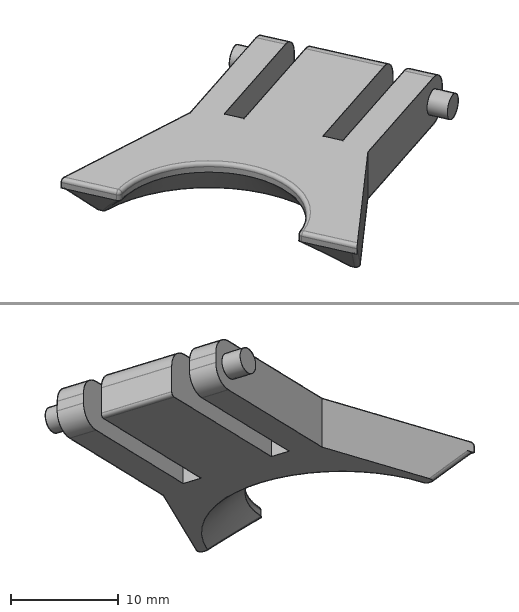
import cadquery as cq

length = 33.0
thickness = 5.0
fork_width = 30.0
shank_width = 18.0
flare_length = 15.97

tongue_width = 8.0
slot_width = 2.0
slot_length = 16.0

hinge_radius = 2.0
pin_diameter = 2.5
pin_span = 22.1
pin_inset = 2.25
pin_height = thickness / 2

notch_radius = shank_width / 2
lip_height = 1.0
undercut = thickness - lip_height
edge_radius = 0.4

margin = 0.03


def make_plate():
    """Shank with a flared fork end, extruded to full thickness."""
    half_shank = shank_width / 2
    half_fork = fork_width / 2
    outline = [
        (-half_fork, 0),
        (half_fork, 0),
        (half_shank, flare_length),
        (half_shank, length),
        (-half_shank, length),
        (-half_shank, flare_length),
    ]
    return cq.Workplane("XY").polyline(outline).close().extrude(thickness)


def make_front_undercut():
    """Wedge that slopes the front face back below the lip."""
    return (
        cq.Workplane("YZ")
        .polyline([(0, 0), (undercut, 0), (0, undercut)])
        .close()
        .extrude(fork_width / 2, both=True)
    )


def make_notch():
    """Round notch, cylindrical at the lip and conical below it."""
    profile = [
        (0, 0),
        (notch_radius + undercut, 0),
        (notch_radius, undercut),
        (notch_radius, thickness),
        (0, thickness),
    ]
    return cq.Workplane("XZ").polyline(profile).close().revolve(360, (0, 0), (0, 1))


def make_slot(side):
    """Open slot on one side of the tongue; side is -1 or 1."""
    center_x = side * (tongue_width + slot_width) / 2
    return (
        cq.Workplane("XY")
        .center(center_x, length - slot_length / 2)
        .rect(slot_width, slot_length)
        .extrude(thickness)
    )


def make_pin(side):
    """Hinge pin standing out from one outer leg; side is -1 or 1."""
    pin_length = (pin_span - shank_width) / 2
    return (
        cq.Workplane("YZ", origin=(side * shank_width / 2, 0, 0))
        .center(length - pin_inset, pin_height)
        .circle(pin_diameter / 2)
        .extrude(side * pin_length)
    )


def box_around(x_limit, y_range, z_range):
    """Selector for edges centered in a box that is symmetric about x = 0."""
    return cq.selectors.BoxSelector(
        (-x_limit, y_range[0], z_range[0]),
        (x_limit, y_range[1], z_range[1]),
    )


def round_fork(body):
    """Soften the lip and the sloped face as two layers, then join them."""
    upper_block = (
        cq.Workplane("XY", origin=(0, 0, undercut))
        .rect(2 * fork_width, 3 * length)
        .extrude(lip_height)
    )
    lip_layer = body.intersect(upper_block)
    slope_layer = body.cut(upper_block)

    front = (-margin, margin)
    notch_corners = box_around(notch_radius + margin, front, (undercut, thickness))
    lip_layer = lip_layer.edges("|Z").edges(notch_corners).fillet(edge_radius)
    rim = box_around(fork_width / 2, (-margin, length / 2), (thickness - margin, thickness + margin))
    lip_layer = lip_layer.edges(rim).edges("|X or %CIRCLE").fillet(edge_radius)

    slope = box_around(fork_width / 2, (margin, undercut - margin), (margin, undercut - margin))
    slope_layer = slope_layer.edges(slope).fillet(edge_radius)
    return slope_layer.union(lip_layer)


def round_finger_end(body, center_x, lower_radius):
    """Round the upper and lower end of the finger centered at center_x."""
    for height, radius in ((thickness, hinge_radius), (0, lower_radius)):
        edge = cq.selectors.NearestToPointSelector((center_x, length, height))
        body = body.edges("|X").edges(edge).fillet(radius)
    return body


plate = round_fork(make_plate().cut(make_front_undercut()).cut(make_notch()))

for side in (-1, 1):
    plate = plate.cut(make_slot(side))

leg_center = (shank_width + tongue_width + 2 * slot_width) / 4
plate = round_finger_end(plate, 0, edge_radius)
for side in (-1, 1):
    plate = round_finger_end(plate, side * leg_center, hinge_radius)
    plate = plate.union(make_pin(side))

result = plate